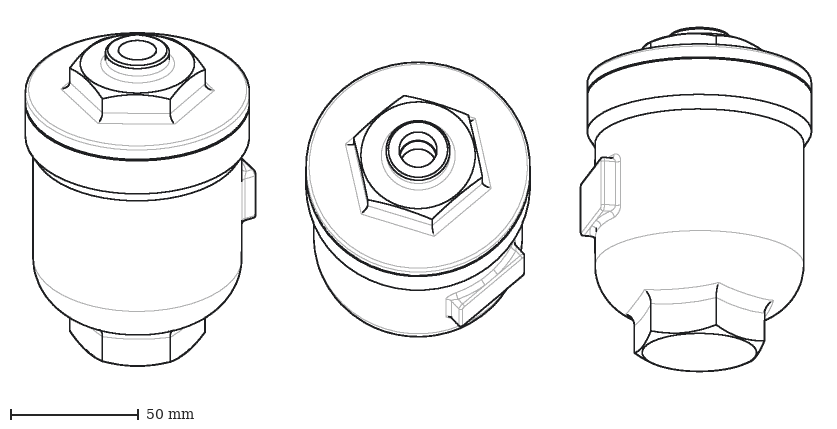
import cadquery as cq
import math

total_height = 131.1
top_hex_height = 125.0
cap_top = 113.1
groove_height = 107.1
flange_bottom = 91.8
taper_bottom = 86.8
dome_top = 36.3

flange_radius = 88.0 / 2
body_radius = 82.0 / 2
dome_radius = 19.4
dome_bottom = dome_top - dome_radius
cap_rim_fillet = 1.2
groove_width = 0.4
groove_depth = 0.4

hex_across_flats = 46.0
hex_corner_radius = hex_across_flats / math.sqrt(3)
top_hex_fillet = 3.0
dome_hex_fillet = 5.0
hex_chamfer_circle = 22.4
hex_chamfer_angle = math.radians(30)

spigot_radius = 25.0 / 2
spigot_rim_chamfer = 0.9
spigot_foot_fillet = 2.0
mouth_diameter = 14.8
mouth_depth = 9.2
bore_diameter = 14.3

plate_width = 34.3
plate_height = 22.0
plate_center_height = 61.1
plate_corner_fillet = 2.0
plate_edge_fillet = 1.0
plate_foot_fillet = 2.1

pick_margin = 0.3


def make_body():
    """Turned body with a domed bottom, a tapered flange and a parting groove."""
    dome_center_radius = body_radius - dome_radius
    dome_mid_offset = dome_radius * math.sqrt(0.5)
    body = (
        cq.Workplane("XZ")
        .moveTo(0, dome_bottom)
        .lineTo(dome_center_radius, dome_bottom)
        .threePointArc(
            (dome_center_radius + dome_mid_offset, dome_top - dome_mid_offset),
            (body_radius, dome_top),
        )
        .lineTo(body_radius, taper_bottom)
        .lineTo(flange_radius, flange_bottom)
        .lineTo(flange_radius, cap_top)
        .lineTo(0, cap_top)
        .close()
        .revolve(360, (0, 0), (0, 1))
    )
    body = body.faces(">Z").edges().fillet(cap_rim_fillet)
    groove = (
        cq.Workplane("XY", origin=(0, 0, groove_height - groove_width / 2))
        .circle(flange_radius + groove_depth)
        .circle(flange_radius - groove_depth)
        .extrude(groove_width)
    )
    seam_angle = -90
    return body.cut(groove).rotate((0, 0, 0), (0, 0, 1), seam_angle)


def make_hex(length):
    """Hexagon with corners on the X axis, standing on Z = 0, chamfered at its top end."""
    prism = cq.Workplane("XY").polygon(6, 2 * hex_corner_radius).extrude(length)
    corner_drop = (hex_corner_radius - hex_chamfer_circle) * math.tan(hex_chamfer_angle)
    chamfer_envelope = (
        cq.Workplane("XZ")
        .lineTo(hex_corner_radius, 0)
        .lineTo(hex_corner_radius, length - corner_drop)
        .lineTo(hex_chamfer_circle, length)
        .lineTo(0, length)
        .close()
        .revolve(360, (0, 0), (0, 1))
    )
    return prism.intersect(chamfer_envelope)


def near_height(low, high):
    """Selector for edges that lie within the hexagon corners between two heights."""
    reach = hex_corner_radius + pick_margin
    return cq.selectors.BoxSelector((-reach, -reach, low), (reach, reach, high), boundingbox=True)


def add_bottom_hex(body):
    """Hexagon running up into the dome, with a fillet where it meets the dome."""
    bottom_hex = make_hex(dome_top).rotate((0, 0, 0), (1, 0, 0), 180).translate((0, 0, dome_top))
    body = body.union(bottom_hex)
    joint = near_height(dome_bottom - pick_margin, dome_bottom + dome_hex_fillet)
    return body.edges(joint).fillet(dome_hex_fillet)


def add_top_hex(body):
    """Hexagon on the cap: concave fillet foot that ends in a larger, sharp hexagon."""
    top_hex = make_hex(top_hex_height - cap_top).translate((0, 0, cap_top))
    body = body.union(top_hex)
    joint = near_height(cap_top - pick_margin, cap_top + pick_margin)
    return body.edges(joint).fillet(top_hex_fillet)


def add_spigot(body):
    """Chamfered spigot with a filleted foot and a blind bore that is wider at its mouth."""
    spigot = (
        cq.Workplane("XY", origin=(0, 0, top_hex_height))
        .circle(spigot_radius)
        .extrude(total_height - top_hex_height)
        .faces(">Z")
        .edges()
        .chamfer(spigot_rim_chamfer)
    )
    foot = (
        cq.Workplane("XZ", origin=(0, 0, top_hex_height))
        .lineTo(spigot_radius + spigot_foot_fillet, 0)
        .radiusArc((spigot_radius, spigot_foot_fillet), spigot_foot_fillet)
        .lineTo(0, spigot_foot_fillet)
        .close()
        .revolve(360, (0, 0), (0, 1))
    )
    bore = (
        cq.Workplane("XY", origin=(0, 0, cap_top))
        .circle(bore_diameter / 2)
        .extrude(total_height - cap_top)
    )
    mouth = (
        cq.Workplane("XY", origin=(0, 0, total_height - mouth_depth))
        .circle(mouth_diameter / 2)
        .extrude(mouth_depth)
    )
    return body.union(spigot).union(foot).cut(bore).cut(mouth)


def add_plate(body):
    """Rounded name plate standing off the body wall, with a filleted foot."""
    plate = (
        cq.Workplane("XZ", origin=(0, 0, plate_center_height))
        .rect(plate_width, plate_height)
        .extrude(-flange_radius)
        .edges("|Y")
        .fillet(plate_corner_fillet)
        .faces(">Y")
        .edges()
        .fillet(plate_edge_fillet)
    )
    body = body.union(plate)
    wall_back = math.sqrt(body_radius**2 - (plate_width / 2) ** 2)
    half_width = plate_width / 2 + pick_margin
    half_height = plate_height / 2 + pick_margin
    foot_zone = cq.selectors.BoxSelector(
        (-half_width, wall_back - pick_margin, plate_center_height - half_height),
        (half_width, body_radius + pick_margin, plate_center_height + half_height),
        boundingbox=True,
    )
    return body.edges(foot_zone).fillet(plate_foot_fillet)


result = make_body()
result = add_plate(result)
result = add_bottom_hex(result)
result = add_top_hex(result)
result = add_spigot(result)